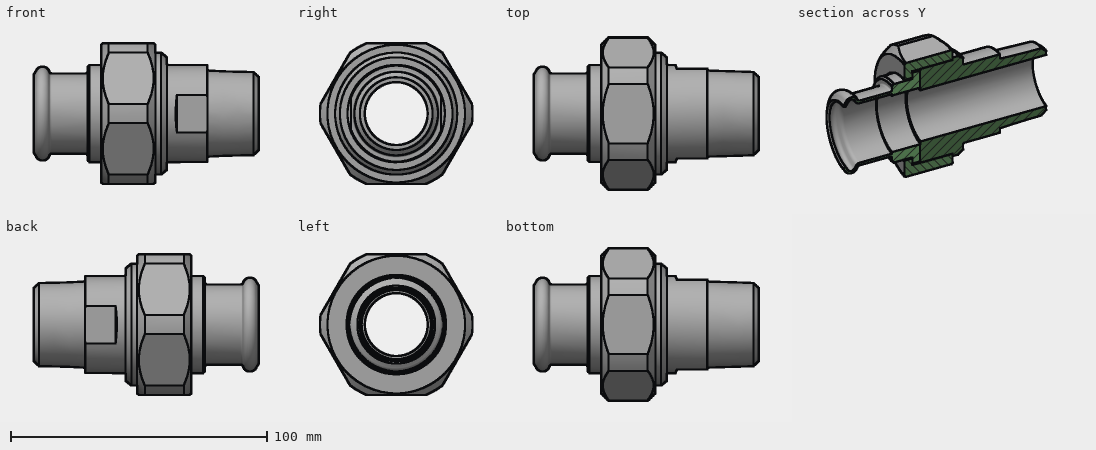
import cadquery as cq
import math

TOTAL_LENGTH = 88.0

TAILPIECE_BORE_DIAMETER = 27.0
SOCKET_DIAMETER = 28.4
TUBE_DIAMETER = 31.4
LIP_DIAMETER = 28.7
RIM_DIAMETER = 30.45
BEAD_DIAMETER = 36.8
BEAD_CENTRE_X = 3.5
BEAD_PROFILE_RADIUS = 2.8
BEAD_INNER_RADIUS = 1.5
BEAD_TO_TUBE_X = 7.1
SOCKET_EDGE_RADIUS = 1.9
RIM_CONE_END_X = 1.0

SHOULDER_DIAMETER = 38.0
SHOULDER_X = 21.0
SHOULDER_CHAMFER = 0.9
SHOULDER_FILLET = 0.7
FLANGE_DIAMETER = 44.0
FLANGE_THICKNESS = 3.5

NUT_START_X = 26.4
NUT_END_X = 47.5
NUT_ACROSS_FLATS = 55.0
NUT_CORNER_DIAMETER = 59.7
NUT_FACE_DIAMETER = 53.8
NUT_OPENING_DIAMETER = 38.5
NUT_OPENING_CHAMFER = 0.2
NUT_THREAD_DIAMETER = 44.9
NUT_LIP_THICKNESS = 3.5

MALE_BORE_DIAMETER = 24.5
COLLAR_DIAMETER = 47.7
COLLAR_FACE_DIAMETER = 44.0
COLLAR_END_X = 52.0
COLLAR_CHAMFER_LENGTH = 2.2
BODY_DIAMETER = 38.0
BODY_END_X = 67.9
BODY_EDGE_CHAMFER = 0.3
ROOT_FILLET = 0.4
THREAD_DIAMETER = 33.7
THREAD_TAPER = 1 / 16
THREAD_CHAMFER_LENGTH = 2.2
THREAD_TIP_DIAMETER = 28.4

FLAT_DISTANCE = 35.1
FLAT_START_X = 56.0
FLAT_RUNOUT = 0.5

X_AXIS = ((0, 0, 0), (1, 0, 0))

flange_start_x = NUT_START_X + NUT_LIP_THICKNESS
flange_end_x = flange_start_x + FLANGE_THICKNESS


def revolve_about_x(profile):
    return profile.close().revolve(360, *X_AXIS)


def fillet_arc(profile, start, end, centre, radius):
    """Draw the shorter arc from start to end about the given centre."""
    middle_x = (start[0] + end[0]) / 2 - centre[0]
    middle_r = (start[1] + end[1]) / 2 - centre[1]
    length = math.hypot(middle_x, middle_r)
    middle = (centre[0] + radius * middle_x / length, centre[1] + radius * middle_r / length)
    return profile.threePointArc(middle, end)


def make_tailpiece():
    bore = TAILPIECE_BORE_DIAMETER / 2
    socket = SOCKET_DIAMETER / 2
    tube = TUBE_DIAMETER / 2
    lip = LIP_DIAMETER / 2
    rim = RIM_DIAMETER / 2
    shoulder = SHOULDER_DIAMETER / 2
    flange = FLANGE_DIAMETER / 2

    bead_centre = BEAD_DIAMETER / 2 - BEAD_PROFILE_RADIUS
    bead_start = bead_centre + math.sqrt(BEAD_PROFILE_RADIUS**2 - (BEAD_CENTRE_X - RIM_CONE_END_X) ** 2)
    run = BEAD_TO_TUBE_X - BEAD_CENTRE_X
    rise = tube - bead_centre
    bead_fillet = (run**2 + rise**2 - BEAD_PROFILE_RADIUS**2) / (2 * (BEAD_PROFILE_RADIUS - rise))
    share = BEAD_PROFILE_RADIUS / (BEAD_PROFILE_RADIUS + bead_fillet)
    bead_end = (BEAD_CENTRE_X + run * share, bead_centre + (rise + bead_fillet) * share)

    profile = cq.Workplane("XY").moveTo(0, rim).lineTo(RIM_CONE_END_X, bead_start)
    profile = profile.threePointArc((BEAD_CENTRE_X, BEAD_DIAMETER / 2), bead_end)
    tube_start = (BEAD_TO_TUBE_X, tube)
    profile = fillet_arc(profile, bead_end, tube_start, (BEAD_TO_TUBE_X, tube + bead_fillet), bead_fillet)

    root_start = (SHOULDER_X - SHOULDER_FILLET, tube)
    root_end = (SHOULDER_X, tube + SHOULDER_FILLET)
    root_centre = (root_start[0], root_end[1])
    profile = profile.lineTo(*root_start)
    profile = fillet_arc(profile, root_start, root_end, root_centre, SHOULDER_FILLET)
    profile = (
        profile.lineTo(SHOULDER_X, shoulder - SHOULDER_CHAMFER)
        .lineTo(SHOULDER_X + SHOULDER_CHAMFER, shoulder)
        .lineTo(flange_start_x, shoulder)
        .lineTo(flange_start_x, flange)
        .lineTo(flange_end_x, flange)
        .lineTo(flange_end_x, bore)
        .lineTo(SHOULDER_X, bore)
        .lineTo(SHOULDER_X, socket)
    )

    centre_rise = socket + SOCKET_EDGE_RADIUS - bead_centre
    centre_distance = math.hypot(run, centre_rise)
    tangent_turn = math.acos((BEAD_INNER_RADIUS + SOCKET_EDGE_RADIUS) / centre_distance)
    normal_angle = math.atan2(centre_rise, run) + tangent_turn
    normal_x = math.cos(normal_angle)
    normal_r = math.sin(normal_angle)
    hollow_start = (BEAD_CENTRE_X + BEAD_INNER_RADIUS * normal_x, bead_centre + BEAD_INNER_RADIUS * normal_r)
    mouth_start = (BEAD_TO_TUBE_X, socket)
    mouth_centre = (BEAD_TO_TUBE_X, socket + SOCKET_EDGE_RADIUS)
    mouth_end = (
        mouth_centre[0] - SOCKET_EDGE_RADIUS * normal_x,
        mouth_centre[1] - SOCKET_EDGE_RADIUS * normal_r,
    )

    cone_angle = math.atan2(bead_start - rim, RIM_CONE_END_X)
    hollow_end = (
        BEAD_CENTRE_X - BEAD_INNER_RADIUS * math.sin(cone_angle),
        bead_centre + BEAD_INNER_RADIUS * math.cos(cone_angle),
    )
    lip_end_x = hollow_end[0] - (hollow_end[1] - lip) / math.tan(cone_angle)
    lip_round = rim - lip
    profile = profile.lineTo(*mouth_start)
    profile = fillet_arc(profile, mouth_start, mouth_end, mouth_centre, SOCKET_EDGE_RADIUS)
    profile = (
        profile.lineTo(*hollow_start)
        .threePointArc((BEAD_CENTRE_X, bead_centre + BEAD_INNER_RADIUS), hollow_end)
        .lineTo(lip_end_x, lip)
        .lineTo(lip_round, lip)
    )
    profile = fillet_arc(profile, (lip_round, lip), (0, rim), (lip_round, rim), lip_round)
    return revolve_about_x(profile)


def make_nut():
    corner = NUT_CORNER_DIAMETER / 2
    face = NUT_FACE_DIAMETER / 2
    opening = NUT_OPENING_DIAMETER / 2
    thread = NUT_THREAD_DIAMETER / 2
    chamfer = corner - face
    full_corner_diameter = NUT_ACROSS_FLATS / math.cos(math.pi / 6)

    hexagon = (
        cq.Workplane("YZ", origin=(NUT_START_X, 0, 0))
        .polygon(6, full_corner_diameter)
        .extrude(NUT_END_X - NUT_START_X)
    )
    envelope = revolve_about_x(
        cq.Workplane("XY")
        .moveTo(NUT_START_X + NUT_OPENING_CHAMFER, opening)
        .lineTo(NUT_START_X, opening + NUT_OPENING_CHAMFER)
        .lineTo(NUT_START_X, face)
        .lineTo(NUT_START_X + chamfer, corner)
        .lineTo(NUT_END_X - chamfer, corner)
        .lineTo(NUT_END_X, face)
        .lineTo(NUT_END_X, thread)
        .lineTo(flange_start_x, thread)
        .lineTo(flange_start_x, opening)
    )
    return hexagon.intersect(envelope)


def make_flat_cutter():
    """Cutter for the -Y wrench flat, with a sloping run-out at its start."""
    flat = FLAT_DISTANCE / 2
    body = BODY_DIAMETER / 2
    return (
        cq.Workplane("XY")
        .moveTo(FLAT_START_X, -flat)
        .lineTo(BODY_END_X, -flat)
        .lineTo(BODY_END_X, -body)
        .lineTo(FLAT_START_X - FLAT_RUNOUT, -body)
        .close()
        .extrude(body, both=True)
    )


def make_male_end():
    bore = MALE_BORE_DIAMETER / 2
    spigot = NUT_THREAD_DIAMETER / 2
    collar = COLLAR_DIAMETER / 2
    body = BODY_DIAMETER / 2
    thread_start = THREAD_DIAMETER / 2
    thread_start_x = BODY_END_X + ROOT_FILLET
    thread_end_x = TOTAL_LENGTH - THREAD_CHAMFER_LENGTH
    thread_end = thread_start - (thread_end_x - thread_start_x) * THREAD_TAPER / 2

    profile = (
        cq.Workplane("XY")
        .moveTo(flange_end_x, bore)
        .lineTo(flange_end_x, spigot)
        .lineTo(NUT_END_X, spigot)
        .lineTo(NUT_END_X, collar)
        .lineTo(COLLAR_END_X - COLLAR_CHAMFER_LENGTH, collar)
        .lineTo(COLLAR_END_X, COLLAR_FACE_DIAMETER / 2)
    )

    collar_root = (COLLAR_END_X, body + ROOT_FILLET)
    body_start = (COLLAR_END_X + ROOT_FILLET, body)
    profile = profile.lineTo(*collar_root)
    profile = fillet_arc(profile, collar_root, body_start, (body_start[0], collar_root[1]), ROOT_FILLET)
    body_root = (BODY_END_X, thread_start + ROOT_FILLET)
    thread_root = (thread_start_x, thread_start)
    profile = (
        profile.lineTo(BODY_END_X - BODY_EDGE_CHAMFER, body)
        .lineTo(BODY_END_X, body - BODY_EDGE_CHAMFER)
        .lineTo(*body_root)
    )
    profile = fillet_arc(profile, body_root, thread_root, (thread_start_x, body_root[1]), ROOT_FILLET)

    profile = (
        profile.lineTo(thread_end_x, thread_end)
        .lineTo(TOTAL_LENGTH, THREAD_TIP_DIAMETER / 2)
        .lineTo(TOTAL_LENGTH, bore)
    )
    male_end = revolve_about_x(profile)

    for angle in (0, 180):
        male_end = male_end.cut(make_flat_cutter().rotate(*X_AXIS, angle))
    return male_end


tailpiece = make_tailpiece()
nut = make_nut()
male_end = make_male_end()

result = cq.Compound.makeCompound([tailpiece.val(), nut.val(), male_end.val()])